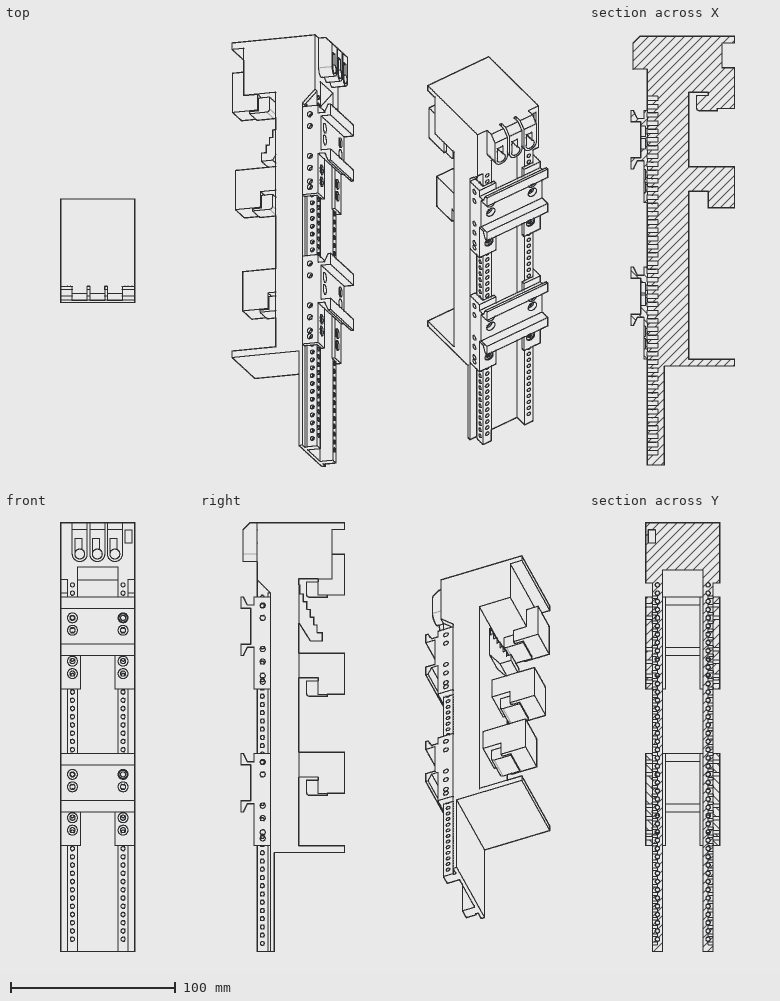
import cadquery as cq


LENGTH = 260.0
WIDTH = 45.0
SIDE = WIDTH / 2
FLOOR_Y = 8.0
PLATE_BACK = 10.5
BODY_BACK = 25.2
HEAD_BACK = 45.5
REAR = 53.0
HEAD_BOTTOM = 226.0
FOOT_BOTTOM = 60.0
WALL = 4.2

CHANNEL_HALF = 12.2
CHANNEL_TOP = 233.2
RIDGE_OUTER = 18.5
LEDGE_TOP = 225.5
RIDGE_X = (CHANNEL_HALF + RIDGE_OUTER) / 2
GROOVE_HEIGHT = 1.5
GROOVE_DEPTH = 0.8

HOLE_FIRST = 7.5
HOLE_LAST = 222.3
HOLE_COUNT = 44
HOLE_PITCH = (HOLE_LAST - HOLE_FIRST) / (HOLE_COUNT - 1)
FRONT_HOLE = 2.5
FRONT_HOLE_DEPTH = 6.5
SIDE_HOLE = 2.4
SIDE_HOLE_DEPTH = 3.0
SIDE_HOLE_Y = 3.0
SIDE_HOLE_DROP = 2.5
SIDE_HOLE_COUNT = HOLE_COUNT - 1

TERMINAL_WIDTH = 9.0
TERMINAL_PITCH = 10.7
TERMINAL_MIDDLE = -0.3
TERMINAL_DEPTH = 8.5
TERMINAL_CHAMFER = 4.2
TERMINAL_ROUND_Z = 241.0
ENTRY = 6.0
ENTRY_DEPTH = 7.8
WINDOW_WIDTH = 4.2
WINDOW_DEPTH = 6.5
WINDOW_TOP = 250.5
WINDOW_SHIFT = -0.8
POCKET_X = 18.7
POCKET_WIDTH = 4.2
POCKET_BOTTOM = 247.8
POCKET_HEIGHT = 7.8
POCKET_DEPTH = 2.5

HOOK_TOP = 241.0
HOOK_PITCH = 60.0
HOOK_HEIGHT = 25.0
HOOK_WIDTH = 18.0
HOOK_LEFT_SIDES = (-21.5, -15.9, -1.5)
HOOK_FRONT = 37.0
LEG_HEIGHT = 10.0
CONTACT_INSET = 1.8
CONTACT_BACK = 42.6
CONTACT_FRONT = 30.0
CONTACT_DROP = 1.3
CONTACT_HEIGHT = 9.4
CONTACT_ROUND = 1.8

LEVER_WIDTH = 13.0
LEVER_TOP = 222.3
LEVER_FIRST_Y = 26.0
LEVER_FIRST_Z = 216.8
LEVER_STEPS = 5
LEVER_RUN = 2.0
LEVER_RISE = 4.7
LEVER_TIP_Y = 39.5
LEVER_BOTTOM = 188.2
LEVER_HEEL_Y = 32.2
LEVER_ROOT_Z = 199.5

BRACKET_COUNT = 2
BRACKET_STEP = 19
BRACKET_HEIGHT = 56.0
LEG_INNER = 10.5
LEG_FRONT = -1.95
RAIL_HEIGHT = 35.5
WEB_FRONT = -4.0
LIP_FRONT = -10.0
LIP_HEIGHT = 7.0
LIP_TIP = 1.5
FLANGE = 2.0
LIP_ROOT = -6.0
SCREW_DROP = 12.7
SCREW_HOLE_DROPS = (SCREW_DROP, 20.3, 39.0, 46.5)
SCREW_HOLE = 3.0
COUNTERBORE = 6.0
COUNTERBORE_FLOOR = -1.0
BRACKET_SIDE_DROPS = (5.2, 12.7, 31.7, 39.3, 47.8, 51.5)
BRACKET_SIDE_HOLE = 3.0
BRACKET_SIDE_Y = 3.5
FIRST_SCREW_HOLE = 20

HEAD = 5.0
HEAD_HEIGHT = 2.0
SHANK = 2.4
SHANK_END = 5.2
SOCKET = 3.0
SOCKET_DEPTH = 1.3


def box(x0, x1, y0, y1, z0, z1):
    """Box between two opposite corners."""
    return cq.Workplane("XY").box(x1 - x0, y1 - y0, z1 - z0, centered=False).translate((x0, y0, z0))


def side_profile(points, x0, x1):
    """Prism along X whose outline is given as (y, z) points."""
    return cq.Workplane("YZ").polyline(points).close().extrude(x1 - x0).translate((x0, 0, 0))


def rod(diameter, x, z, y0, y1):
    """Cylinder along Y."""
    return cq.Workplane("XZ", origin=(x, y0, z)).circle(diameter / 2).extrude(y0 - y1)


def side_rods(diameter, y, heights, x0, x1):
    """Cylinders along X, one at each height."""
    points = [(y, z) for z in heights]
    return cq.Workplane("YZ", origin=(x0, 0, 0)).pushPoints(points).circle(diameter / 2).extrude(x1 - x0)


def both_sides(shape):
    """A shape together with its mirror image across X = 0."""
    return shape.union(shape.mirror("YZ"))


def main_block():
    outline = [
        (0, 0), (0, LENGTH), (REAR, LENGTH), (REAR, LENGTH - WALL), (HEAD_BACK, LENGTH - WALL),
        (HEAD_BACK, HEAD_BOTTOM), (BODY_BACK, HEAD_BOTTOM), (BODY_BACK, FOOT_BOTTOM + WALL),
        (REAR, FOOT_BOTTOM + WALL), (REAR, FOOT_BOTTOM), (PLATE_BACK, FOOT_BOTTOM), (PLATE_BACK, 0),
    ]
    return side_profile(outline, -SIDE, SIDE)


def front_recess(top, x0, x1):
    """Recess down to the floor plane, ending in a 45 degree slope."""
    return side_profile([(0, 0), (0, top), (FLOOR_Y, top - FLOOR_Y), (FLOOR_Y, 0)], x0, x1)


def ridge_grooves():
    return both_sides(box(RIDGE_OUTER - GROOVE_DEPTH, RIDGE_OUTER, FLOOR_Y - GROOVE_HEIGHT, FLOOR_Y,
                          0, LEDGE_TOP - FLOOR_Y))


def ridge_hole_z(index):
    return HOLE_FIRST + index * HOLE_PITCH


def ridge_holes():
    front_points = [(RIDGE_X, ridge_hole_z(i)) for i in range(HOLE_COUNT)]
    front = cq.Workplane("XZ").pushPoints(front_points).circle(FRONT_HOLE / 2).extrude(-FRONT_HOLE_DEPTH)
    side_heights = [ridge_hole_z(i) - SIDE_HOLE_DROP for i in range(SIDE_HOLE_COUNT)]
    side = side_rods(SIDE_HOLE, SIDE_HOLE_Y, side_heights, RIDGE_OUTER - SIDE_HOLE_DEPTH, RIDGE_OUTER)
    return both_sides(front).union(both_sides(side))


def terminal(x):
    """Terminal block with a chamfered top, a rounded lower end and a wire entry below a window."""
    half = TERMINAL_WIDTH / 2
    block = (
        cq.Workplane("XZ")
        .moveTo(x - half, LENGTH)
        .lineTo(x - half, TERMINAL_ROUND_Z)
        .threePointArc((x, TERMINAL_ROUND_Z - half), (x + half, TERMINAL_ROUND_Z))
        .lineTo(x + half, LENGTH)
        .close()
        .extrude(TERMINAL_DEPTH)
        .faces(">Z").edges("<Y").chamfer(TERMINAL_CHAMFER)
    )
    front = -TERMINAL_DEPTH
    entry = rod(ENTRY, x, TERMINAL_ROUND_Z, front, front + ENTRY_DEPTH)
    window_x = x + WINDOW_SHIFT
    window = box(window_x - WINDOW_WIDTH / 2, window_x + WINDOW_WIDTH / 2, front, front + WINDOW_DEPTH,
                 TERMINAL_ROUND_Z, WINDOW_TOP)
    return block.cut(entry).cut(window)


def front_pocket():
    return box(POCKET_X - POCKET_WIDTH / 2, POCKET_X + POCKET_WIDTH / 2, 0, POCKET_DEPTH,
               POCKET_BOTTOM, POCKET_BOTTOM + POCKET_HEIGHT)


def hook(left, top):
    """Hook with a hanging leg and a contact tongue standing out of it."""
    bottom = top - HOOK_HEIGHT
    outline = [
        (BODY_BACK, top), (REAR, top), (REAR, bottom), (HOOK_FRONT, bottom),
        (HOOK_FRONT, bottom + LEG_HEIGHT), (BODY_BACK, bottom + LEG_HEIGHT),
    ]
    tongue_bottom = bottom - CONTACT_DROP
    tongue = box(left + CONTACT_INSET, left + HOOK_WIDTH - CONTACT_INSET, CONTACT_FRONT, CONTACT_BACK,
                 tongue_bottom, tongue_bottom + CONTACT_HEIGHT)
    tongue = tongue.faces("<Y").edges("<Z").fillet(CONTACT_ROUND)
    return side_profile(outline, left, left + HOOK_WIDTH).union(tongue)


def lever():
    """Slanting lever with stairs along its rear edge."""
    points = [(BODY_BACK, LEVER_TOP), (LEVER_FIRST_Y, LEVER_TOP)]
    for step in range(LEVER_STEPS):
        y = LEVER_FIRST_Y + step * LEVER_RUN
        z = LEVER_FIRST_Z - step * LEVER_RISE
        points += [(y, z), (y + LEVER_RUN, z)]
    last_y = LEVER_FIRST_Y + LEVER_STEPS * LEVER_RUN
    last_z = LEVER_FIRST_Z - LEVER_STEPS * LEVER_RISE
    points += [
        (last_y, last_z), (LEVER_TIP_Y, last_z), (LEVER_TIP_Y, LEVER_BOTTOM),
        (LEVER_HEEL_Y, LEVER_BOTTOM), (BODY_BACK, LEVER_ROOT_Z),
    ]
    return side_profile(points, -LEVER_WIDTH / 2, LEVER_WIDTH / 2)


def make_housing():
    body = main_block()
    body = body.cut(front_recess(CHANNEL_TOP, -CHANNEL_HALF, CHANNEL_HALF))
    body = body.cut(both_sides(front_recess(LEDGE_TOP, RIDGE_OUTER, SIDE)))
    body = body.cut(ridge_grooves()).cut(ridge_holes()).cut(front_pocket())
    for place in (-1, 0, 1):
        body = body.union(terminal(TERMINAL_MIDDLE + place * TERMINAL_PITCH))
    for row, left in enumerate(HOOK_LEFT_SIDES):
        body = body.union(hook(left, HOOK_TOP - row * HOOK_PITCH))
    return body.union(lever())


def bracket_leg(top):
    """Right leg: a plate on the ridge with a flank that fills the ledge beside it."""
    bottom = top - BRACKET_HEIGHT
    plate = box(LEG_INNER, SIDE, LEG_FRONT, 0, bottom, top)
    flank = box(RIDGE_OUTER, SIDE, 0, FLOOR_Y, bottom, top)
    return plate.union(flank)


def rail(top):
    """Hat rail across both legs, symmetric about its middle height."""
    middle = top - RAIL_HEIGHT / 2
    inner = RAIL_HEIGHT / 2 - LIP_HEIGHT
    upper = [
        (WEB_FRONT, inner), (LIP_FRONT, inner), (LIP_FRONT, RAIL_HEIGHT / 2),
        (LIP_FRONT + LIP_TIP, RAIL_HEIGHT / 2), (LIP_ROOT, inner + FLANGE), (LEG_FRONT, inner + FLANGE),
    ]
    lower = [(y, -z) for y, z in reversed(upper)]
    return side_profile([(y, middle + z) for y, z in upper + lower], -SIDE, SIDE)


def make_bracket(screw_z):
    top = screw_z + SCREW_DROP
    body = both_sides(bracket_leg(top)).union(rail(top))
    for drop in SCREW_HOLE_DROPS:
        hole = rod(SCREW_HOLE, RIDGE_X, top - drop, WEB_FRONT, 0)
        counterbore = rod(COUNTERBORE, RIDGE_X, top - drop, WEB_FRONT, COUNTERBORE_FLOOR)
        body = body.cut(both_sides(hole.union(counterbore)))
    side_heights = [top - drop for drop in BRACKET_SIDE_DROPS]
    side_holes = side_rods(BRACKET_SIDE_HOLE, BRACKET_SIDE_Y, side_heights, RIDGE_OUTER, SIDE)
    return body.cut(both_sides(side_holes))


def make_screw(screw_z):
    """Screw with a round socket, through the bracket into the right ridge."""
    head_top = COUNTERBORE_FLOOR - HEAD_HEIGHT
    head = rod(HEAD, RIDGE_X, screw_z, head_top, COUNTERBORE_FLOOR)
    shank = rod(SHANK, RIDGE_X, screw_z, COUNTERBORE_FLOOR, SHANK_END)
    socket = rod(SOCKET, RIDGE_X, screw_z, head_top, head_top + SOCKET_DEPTH)
    return head.union(shank).cut(socket)


screw_heights = [ridge_hole_z(FIRST_SCREW_HOLE + i * BRACKET_STEP) for i in range(BRACKET_COUNT)]

housing = make_housing()
brackets = [make_bracket(z) for z in screw_heights]
screws = [make_screw(z) for z in screw_heights]

result = cq.Compound.makeCompound([
    housing.val(),
    *[bracket.val() for bracket in brackets],
    *[screw.val() for screw in screws],
])